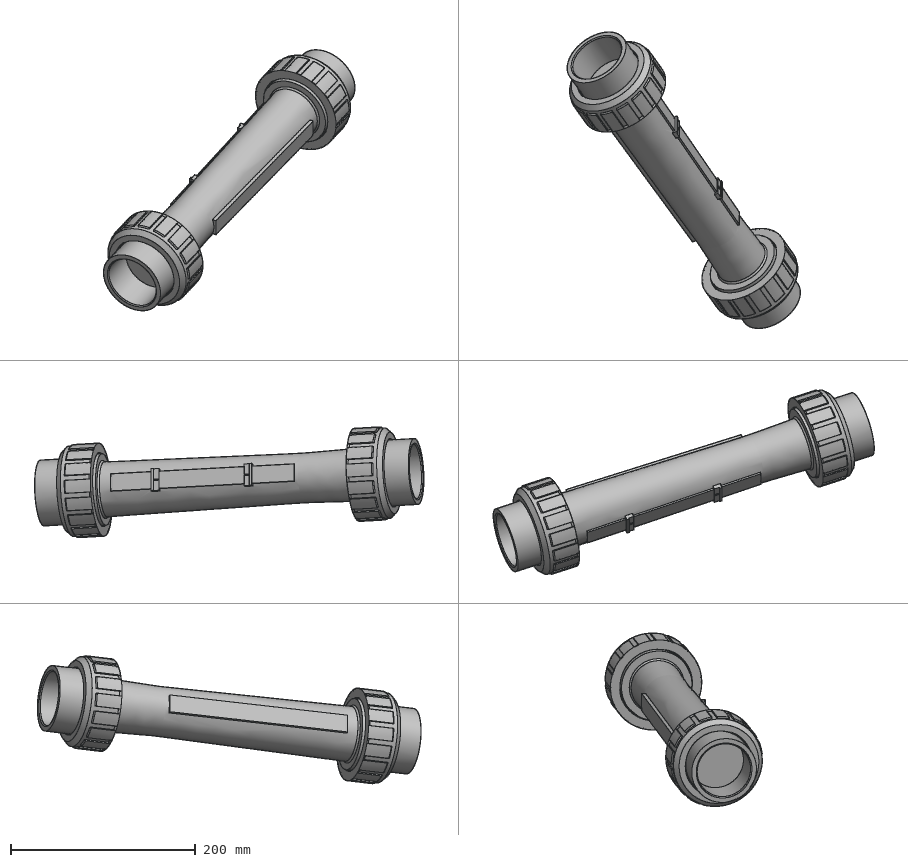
import cadquery as cq

LENGTH = 416.3
HALF_LENGTH = LENGTH / 2

SOCKET_DIAMETER = 71.5
SOCKET_BORE = 59.0
BORE_MOUTH = 61.5
BORE_CHAMFER = (BORE_MOUTH - SOCKET_BORE) / 2
BORE_DEPTH = 38.0

NUT_OUTER_Y = 181.5
NUT_INNER_Y = 142.5
NUT_DIAMETER = 98.2
NUT_END_DIAMETER = 88.2
NUT_CONE_LENGTH = 5.5
NUT_RIM_LENGTH = 2.0
NUT_OUTER_HOLE = 74.0
NUT_INNER_HOLE = 80.5
NUT_GAP_DEPTH = 4.0

RIB_COUNT = 16
RIB_DIAMETER = 101.0
RIB_WIDTH = 14.0
RIB_END_Y = 172.0
RIB_CORNER = 1.2
RIB_END_SLOPE = 1.2
RIB_ROOT_RADIUS = 45.8
RIB_FIRST_ANGLE = 8.0

FLANGE_DIAMETER = 78.0
FLANGE_Y = 139.5
COLLAR_Y = 137.5
COLLAR_STEP = 1.5

TUBE_TOP_RADIUS = 30.0
THROAT_RADIUS = 27.0
TUBE_BOTTOM_RADIUS = 28.7
THROAT_Y = -83.3

RAIL_TOP_Y = 125.0
RAIL_BOTTOM_Y = -79.0
RAIL_WIDTH = 19.0
LEFT_RAIL_HEIGHT = 0.5
RIGHT_RAIL_HEIGHT = 2.5
RAIL_END_CHAMFER = 2.5
RAIL_END_DROP = 0.5

MARKER_UPPER_Y = 79.5
MARKER_LOWER_Y = -32.5
MARKER_LENGTH = 8.7
MARKER_WIDTH = 24.0
MARKER_BASE_HEIGHT = 1.2
MARKER_LIP_HEIGHT = 2.5
MARKER_LIP_LENGTH = 3.0
POINTER_WIDTH = 1.2
MARKER_ROOT_RADIUS = 23.0


def revolve_about_y(points):
    """Revolve a closed (radius, y) outline about the Y axis."""
    return cq.Workplane("XY").polyline(points).close().revolve(360, (0, 0, 0), (0, 1, 0))


def ring(inner_diameter, outer_diameter, y_start, y_end):
    inner = inner_diameter / 2
    outer = outer_diameter / 2
    return revolve_about_y([(inner, y_start), (outer, y_start), (outer, y_end), (inner, y_end)])


def plate_across(points, width):
    """Extrude a closed (x, y) outline symmetrically about Z = 0."""
    return cq.Workplane("XY").polyline(points).close().extrude(width / 2, both=True)


def tube_radius(y):
    """Radius of the tapered tube between the throat and the +Y collar."""
    taper = (TUBE_TOP_RADIUS - THROAT_RADIUS) / (COLLAR_Y - THROAT_Y)
    return THROAT_RADIUS + taper * (y - THROAT_Y)


def make_rib():
    """One grip rib on the +X side, cut to the rib diameter and sloped at its outer end."""
    rib_length = RIB_END_Y - NUT_INNER_Y
    rib = (
        cq.Workplane("YZ")
        .workplane(offset=RIB_ROOT_RADIUS)
        .center(NUT_INNER_Y + rib_length / 2, 0)
        .rect(rib_length, RIB_WIDTH)
        .extrude(RIB_DIAMETER / 2 - RIB_ROOT_RADIUS)
        .edges("|X and >Y")
        .fillet(RIB_CORNER)
    )
    envelope = revolve_about_y([
        (0, NUT_INNER_Y),
        (RIB_DIAMETER / 2, NUT_INNER_Y),
        (RIB_DIAMETER / 2, RIB_END_Y - RIB_END_SLOPE),
        (NUT_DIAMETER / 2, RIB_END_Y),
        (0, RIB_END_Y),
    ])
    return rib.intersect(envelope)


def make_nut():
    """Nut body with a flared rim at its inner face, a coned outer end and grip ribs."""
    radius = NUT_DIAMETER / 2
    nut = revolve_about_y([
        (0, NUT_INNER_Y),
        (RIB_DIAMETER / 2, NUT_INNER_Y),
        (radius, NUT_INNER_Y + NUT_RIM_LENGTH),
        (radius, NUT_OUTER_Y - NUT_CONE_LENGTH),
        (NUT_END_DIAMETER / 2, NUT_OUTER_Y),
        (0, NUT_OUTER_Y),
    ])
    rib = make_rib()
    for index in range(RIB_COUNT):
        angle = RIB_FIRST_ANGLE + index * 360 / RIB_COUNT
        nut = nut.union(rib.rotate((0, 0, 0), (0, 1, 0), -angle))
    return nut


def make_coupling():
    """Nut, flange and socket pipe at the +Y end."""
    gap_end_y = NUT_INNER_Y + NUT_GAP_DEPTH
    flange = ring(0, FLANGE_DIAMETER, FLANGE_Y, gap_end_y)
    socket = ring(0, SOCKET_DIAMETER, NUT_OUTER_Y - NUT_GAP_DEPTH, HALF_LENGTH)
    inner_gap = ring(FLANGE_DIAMETER, NUT_INNER_HOLE, NUT_INNER_Y, gap_end_y)
    outer_gap = ring(SOCKET_DIAMETER, NUT_OUTER_HOLE, NUT_OUTER_Y - NUT_GAP_DEPTH, NUT_OUTER_Y)
    bore = revolve_about_y([
        (0, HALF_LENGTH - BORE_DEPTH),
        (SOCKET_BORE / 2, HALF_LENGTH - BORE_DEPTH),
        (SOCKET_BORE / 2, HALF_LENGTH - BORE_CHAMFER),
        (BORE_MOUTH / 2, HALF_LENGTH),
        (0, HALF_LENGTH),
    ])
    solid = make_nut().union(flange).union(socket)
    return solid.cut(inner_gap).cut(outer_gap).cut(bore)


def make_tube():
    """Solid tapered core, stepping out to a small collar at each flange."""
    return revolve_about_y([
        (0, -FLANGE_Y),
        (TUBE_BOTTOM_RADIUS + COLLAR_STEP, -FLANGE_Y),
        (TUBE_BOTTOM_RADIUS, -COLLAR_Y),
        (THROAT_RADIUS, THROAT_Y),
        (TUBE_TOP_RADIUS, COLLAR_Y),
        (TUBE_TOP_RADIUS + COLLAR_STEP, FLANGE_Y),
        (0, FLANGE_Y),
    ])


def make_rail(side, height):
    """Flat-faced rail that follows the taper; side is +1 for +X and -1 for -X."""
    shoulder_y = RAIL_TOP_Y - RAIL_END_CHAMFER
    top_x = tube_radius(RAIL_TOP_Y) + height
    outline = [
        (0, RAIL_BOTTOM_Y),
        (side * (tube_radius(RAIL_BOTTOM_Y) + height), RAIL_BOTTOM_Y),
        (side * (tube_radius(shoulder_y) + height), shoulder_y),
        (side * (top_x - RAIL_END_DROP), RAIL_TOP_Y),
        (0, RAIL_TOP_Y),
    ]
    return plate_across(outline, RAIL_WIDTH)


def make_marker(lip_y, direction):
    """Marker on the -X rail: a lip at lip_y and a base reaching along direction (+1 or -1 in Y)."""
    lip_end_y = lip_y + direction * MARKER_LIP_LENGTH
    base_end_y = lip_y + direction * MARKER_LENGTH
    rail_x = -(tube_radius(lip_y) + LEFT_RAIL_HEIGHT)
    base_x = rail_x - MARKER_BASE_HEIGHT
    lip_x = rail_x - MARKER_LIP_HEIGHT
    marker = plate_across(
        [
            (-MARKER_ROOT_RADIUS, lip_y),
            (lip_x, lip_y),
            (lip_x, lip_end_y),
            (base_x, lip_end_y),
            (base_x, base_end_y),
            (-MARKER_ROOT_RADIUS, base_end_y),
        ],
        MARKER_WIDTH,
    )
    pointer = plate_across(
        [(rail_x, lip_end_y), (base_x, lip_end_y), (base_x, base_end_y), (rail_x, base_end_y)],
        POINTER_WIDTH,
    )
    return marker.cut(pointer)


coupling = make_coupling()
result = (
    make_tube()
    .union(make_rail(-1, LEFT_RAIL_HEIGHT))
    .union(make_rail(1, RIGHT_RAIL_HEIGHT))
    .union(make_marker(MARKER_UPPER_Y, -1))
    .union(make_marker(MARKER_LOWER_Y, 1))
    .union(coupling)
    .union(coupling.mirror("XZ"))
)